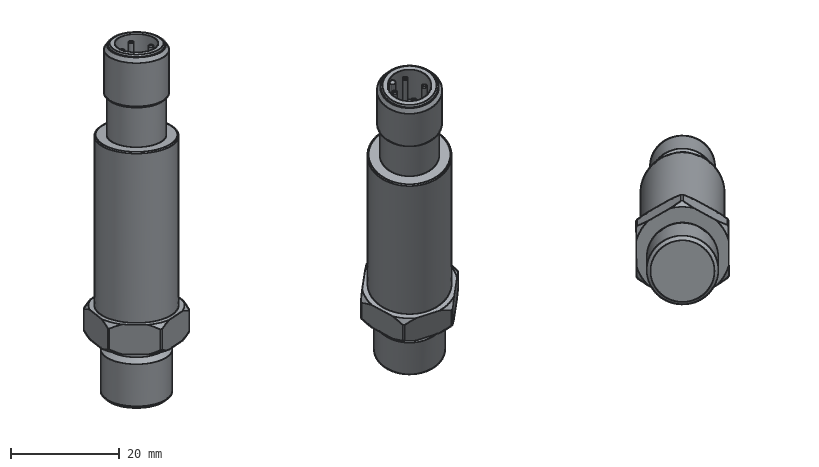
import cadquery as cq
import math

TOTAL_LENGTH = 71.1
HEX_BOTTOM = 12.1
HEX_HEIGHT = 6.0
BODY_TOP = 52.6
COLLAR_BOTTOM = 61.1

THREAD_RADIUS = 6.58
THREAD_END_CHAMFER = 0.7
UNDERCUT_RADIUS = 5.5
UNDERCUT_BOTTOM = 10.1
UNDERCUT_TOP_CHAMFER = 0.35
THREAD_TOP = 9.2

HEX_ACROSS_FLATS = 17.0
HEX_CORNER_RADIUS = 9.695
HEX_CHAMFER = 0.88
HEX_ROTATION = 22.6

BODY_RADIUS = 7.75
BODY_CHAMFER = 0.25

NECK_RADIUS = 5.5
COLLAR_RADIUS = 6.0
COLLAR_BOTTOM_CHAMFER = COLLAR_RADIUS - NECK_RADIUS
COLLAR_TOP_CHAMFER_HEIGHT = 0.85
COLLAR_RIM_RADIUS = 5.4
LIP_RADIUS = 5.25
LIP_CHAMFER = 0.3
LIP_HEIGHT = 0.4

SOCKET_RADIUS = 4.0
SOCKET_DEPTH = 8.0
PIN_RADIUS = 0.5
PIN_TIP_CHAMFER = 0.25
PIN_OFFSET = 2.0
PIN_RECESS = 0.8
CENTRE_HOLE_RADIUS = 0.75
CENTRE_HOLE_DEPTH = 2.0
KEY_RADIUS = 0.55
KEY_REACH = 3.0
KEY_RECESS = 1.0

SOCKET_FLOOR = TOTAL_LENGTH - SOCKET_DEPTH


def revolve_profile(points):
    """Turn a closed (radius, height) outline about the Z axis."""
    return cq.Workplane("XZ").polyline(points).close().revolve(360, (0, 0, 0), (0, 1, 0))


def make_process_thread():
    return revolve_profile([
        (0, 0),
        (THREAD_RADIUS - THREAD_END_CHAMFER, 0),
        (THREAD_RADIUS, THREAD_END_CHAMFER),
        (THREAD_RADIUS, THREAD_TOP),
        (UNDERCUT_RADIUS, UNDERCUT_BOTTOM),
        (UNDERCUT_RADIUS, HEX_BOTTOM - UNDERCUT_TOP_CHAMFER),
        (UNDERCUT_RADIUS + UNDERCUT_TOP_CHAMFER, HEX_BOTTOM),
        (0, HEX_BOTTOM),
    ])


def make_hexagon():
    corner_diameter = HEX_ACROSS_FLATS / math.cos(math.pi / 6)
    prism = cq.Workplane("XY").polygon(6, corner_diameter).extrude(HEX_HEIGHT)
    prism = prism.rotate((0, 0, 0), (0, 0, 1), HEX_ROTATION)
    turned_blank = cq.Workplane("XY").circle(HEX_CORNER_RADIUS).extrude(HEX_HEIGHT)
    turned_blank = turned_blank.faces("<Z or >Z").edges().chamfer(HEX_CHAMFER)
    return prism.intersect(turned_blank).translate((0, 0, HEX_BOTTOM))


def make_housing():
    lip_bottom = TOTAL_LENGTH - LIP_HEIGHT
    body_bottom = HEX_BOTTOM + HEX_HEIGHT
    return revolve_profile([
        (0, body_bottom),
        (BODY_RADIUS, body_bottom),
        (BODY_RADIUS, BODY_TOP - BODY_CHAMFER),
        (BODY_RADIUS - BODY_CHAMFER, BODY_TOP),
        (NECK_RADIUS, BODY_TOP),
        (NECK_RADIUS, COLLAR_BOTTOM - COLLAR_BOTTOM_CHAMFER),
        (COLLAR_RADIUS, COLLAR_BOTTOM),
        (COLLAR_RADIUS, lip_bottom - COLLAR_TOP_CHAMFER_HEIGHT),
        (COLLAR_RIM_RADIUS, lip_bottom),
        (LIP_RADIUS, lip_bottom),
        (LIP_RADIUS, TOTAL_LENGTH - LIP_CHAMFER),
        (LIP_RADIUS - LIP_CHAMFER, TOTAL_LENGTH),
        (0, TOTAL_LENGTH),
    ])


def make_socket():
    """Material removed for the connector socket and the hole in its floor."""
    bore = cq.Workplane("XY").workplane(offset=SOCKET_FLOOR).circle(SOCKET_RADIUS).extrude(SOCKET_DEPTH)
    centre_hole = (
        cq.Workplane("XY")
        .workplane(offset=SOCKET_FLOOR - CENTRE_HOLE_DEPTH)
        .circle(CENTRE_HOLE_RADIUS)
        .extrude(CENTRE_HOLE_DEPTH)
    )
    return bore.union(centre_hole)


def make_pins():
    """Four contact pins standing on the socket floor."""
    return (
        cq.Workplane("XY")
        .workplane(offset=SOCKET_FLOOR)
        .rect(2 * PIN_OFFSET, 2 * PIN_OFFSET, forConstruction=True)
        .vertices()
        .circle(PIN_RADIUS)
        .extrude(SOCKET_DEPTH - PIN_RECESS)
        .faces(">Z")
        .edges()
        .chamfer(PIN_TIP_CHAMFER)
    )


def make_key():
    """Round-nosed coding rib on the -Y side of the socket wall."""
    nose_centre = -(KEY_REACH + KEY_RADIUS)
    root = -(SOCKET_RADIUS + LIP_RADIUS) / 2
    return (
        cq.Workplane("XY")
        .workplane(offset=SOCKET_FLOOR)
        .moveTo(-KEY_RADIUS, root)
        .lineTo(-KEY_RADIUS, nose_centre)
        .threePointArc((0, -KEY_REACH), (KEY_RADIUS, nose_centre))
        .lineTo(KEY_RADIUS, root)
        .close()
        .extrude(SOCKET_DEPTH - KEY_RECESS)
    )


result = make_process_thread().union(make_hexagon()).union(make_housing())
result = result.cut(make_socket()).union(make_pins()).union(make_key())